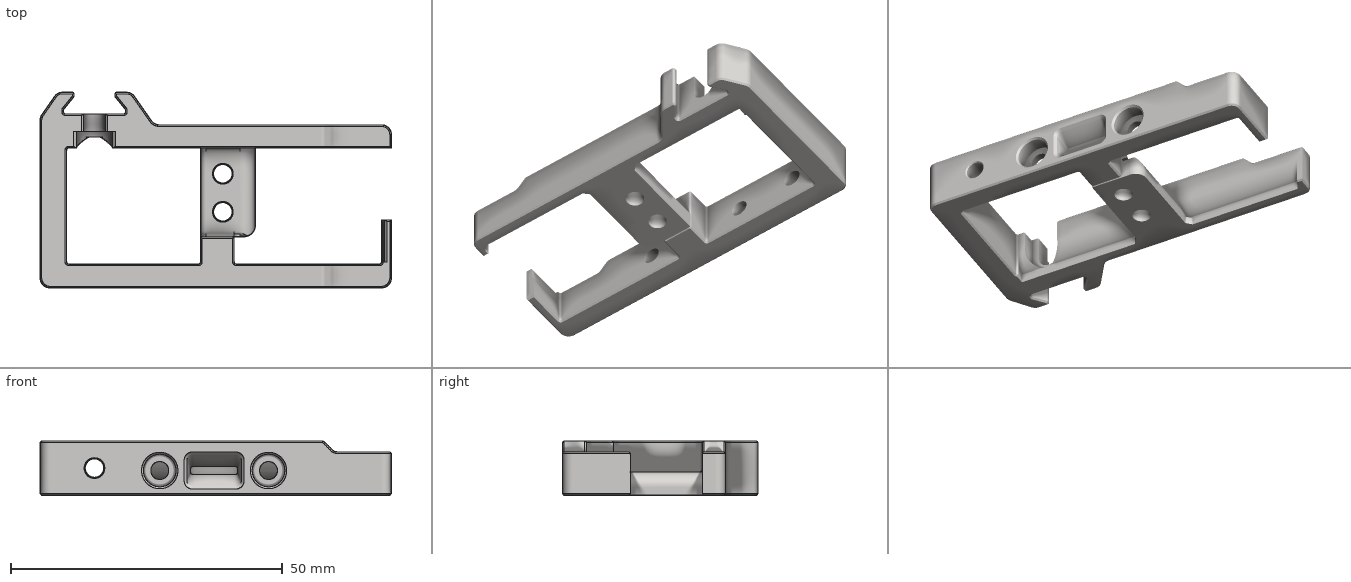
import cadquery as cq
import math

LENGTH = 64.6
WIDTH = 36.0
HEIGHT = 10.0
EDGE_CHAMFER = 0.3
OUTER_RADIUS = 1.8
INNER_RADIUS = 0.4

FRONT_RAIL = 4.4
REAR_RAIL = 4.25
REAR_RAIL_OUTER_Y = 30.0
REAR_RAIL_INNER_Y = REAR_RAIL_OUTER_Y - REAR_RAIL
LEFT_WALL = 4.9
HOOK_WALL = 1.8
HOOK_END_Y = 12.5

STEP_HEIGHT = 8.0
STEP_START_X = 52.1
STEP_RADIUS = 1.0
RAMP_ANGLE = 45.0

CLIP_CENTER_X = 10.0
CLIP_MOUTH_HALF = 3.75
CLIP_FLOOR_HALF = 5.7
CLIP_FLOOR_Y = 32.0
CLIP_SIDE_HEIGHT = 0.8
CLIP_LIP_HEIGHT = 0.8
CLIP_TOP_HALF = 6.8
CLIP_SHOULDER_Y = 31.4
CLIP_FOOT_X = 21.0
CLIP_RADIUS = 0.4

POST_LEFT_X = 29.5
POST_WIDTH = 6.2
POST_END_Y = 9.4
PLATE_WIDTH = 10.1
PLATE_TOP = 4.3
PLATE_LEFT_RADIUS = 1.0
PLATE_RIGHT_RADIUS = 2.8
PLATE_CORNER_RADIUS = 2.2
PLATE_END_RADIUS = 0.9
PLATE_ROOT_RADIUS = 0.55
PLATE_HOLE_X = 33.6
PLATE_HOLES_Y = (14.0, 21.0)

UNDERCUT_TOP = 5.55
UNDERCUT_RADIUS = 4.5
UNDERCUT_DEPTH = 2.0
UNDERCUT_BACK_Y = REAR_RAIL_INNER_Y + UNDERCUT_DEPTH
UNDERCUT_END_X = 63.5
UNDERCUT_CORNER = 1.0

HOOK_SWELL = 0.5
HOOK_TOP_CHAMFER = 0.45

CLEARANCE_DIAMETER = 3.4
HOLE_CHAMFER = 0.2
CLIP_SCREW_Z = 5.0
CLIP_SLOT_WIDTH = 4.1
CLIP_POCKET_WIDTH = 6.7
CLIP_POCKET_DEPTH = 3.0
CLIP_POCKET_CHAMFER = 0.5
FRONT_FEATURE_X = 32.0
FRONT_FEATURE_Z = 4.55
FRONT_HOLE_SPACING = 20.0
FRONT_HOLE_DIAMETER = 3.3
COUNTERBORE_DIAMETER = 6.0
COUNTERBORE_DEPTH = 3.0
COUNTERBORE_CHAMFER = 0.35

WINDOW_WIDTH = 10.0
WINDOW_HEIGHT = 5.8
WINDOW_RADIUS = 1.0
WINDOW_CHAMFER = 0.5
WINDOW_DEPTH = 3.0
WINDOW_BACK_WIDTH = 8.6
WINDOW_BACK_HEIGHT = 1.4
WINDOW_BACK_RADIUS = 0.3


def front_plane(x, y, z):
    """Work plane facing +Y: local x is X and local y is Z downwards."""
    return cq.Workplane(cq.Plane(origin=(x, y, z), xDir=(1, 0, 0), normal=(0, 1, 0)))


def prism(points, z_top):
    """Upright block with the given XY outline, standing on the base plane."""
    return cq.Workplane("XY").polyline(points).close().extrude(z_top)


def round_corners(body, corners, radius):
    """Fillet the vertical edges standing at the given XY points."""
    tolerance = 0.05
    for x, y in corners:
        box = cq.selectors.BoxSelector(
            (x - tolerance, y - tolerance, -1), (x + tolerance, y + tolerance, HEIGHT + 1)
        )
        body = body.edges("|Z").edges(box).fillet(radius)
    return body


def step_cutter():
    """Space above the lowered rail ends, with a straight ramp rounded at its head and foot."""
    angle = math.radians(RAMP_ANGLE)
    lead = STEP_RADIUS * math.tan(angle / 2)
    bend_run = STEP_RADIUS * math.sin(angle)
    bend_rise = STEP_RADIUS * (1 - math.cos(angle))
    head_x = STEP_START_X - lead
    foot_x = STEP_START_X + (HEIGHT - STEP_HEIGHT) / math.tan(angle) + lead
    return (
        cq.Workplane("XZ")
        .moveTo(LENGTH, STEP_HEIGHT)
        .lineTo(foot_x, STEP_HEIGHT)
        .radiusArc((foot_x - bend_run, STEP_HEIGHT + bend_rise), STEP_RADIUS)
        .lineTo(head_x + bend_run, HEIGHT - bend_rise)
        .radiusArc((head_x, HEIGHT), -STEP_RADIUS)
        .lineTo(LENGTH, HEIGHT)
        .close()
        .extrude(-WIDTH)
    )


def frame():
    """Open C-shaped frame with the dovetail clip, the post and the hook."""
    clip_side_y = CLIP_FLOOR_Y + CLIP_SIDE_HEIGHT
    clip_lip_y = WIDTH - CLIP_LIP_HEIGHT
    post_right_x = POST_LEFT_X + POST_WIDTH
    hook_inner_x = LENGTH - HOOK_WALL
    floor_x = (CLIP_CENTER_X - CLIP_FLOOR_HALF, CLIP_CENTER_X + CLIP_FLOOR_HALF)
    mouth_x = (CLIP_CENTER_X - CLIP_MOUTH_HALF, CLIP_CENTER_X + CLIP_MOUTH_HALF)
    top_x = (CLIP_CENTER_X - CLIP_TOP_HALF, CLIP_CENTER_X + CLIP_TOP_HALF)

    outer_corners = [(0, 0), (LENGTH, 0), (LENGTH, REAR_RAIL_OUTER_Y)]
    inner_corners = [
        (LEFT_WALL, REAR_RAIL_INNER_Y),
        (LEFT_WALL, FRONT_RAIL),
        (POST_LEFT_X, FRONT_RAIL),
        (POST_LEFT_X, POST_END_Y),
        (post_right_x, POST_END_Y),
        (post_right_x, FRONT_RAIL),
        (hook_inner_x, FRONT_RAIL),
    ]
    clip_corners = []
    for floor, mouth in zip(floor_x, mouth_x):
        clip_corners += [
            (mouth, WIDTH),
            (mouth, clip_lip_y),
            (floor, clip_side_y),
            (floor, CLIP_FLOOR_Y),
        ]
    clip_tops = [(x, WIDTH) for x in top_x]
    clip_shoulder = (0, CLIP_SHOULDER_Y)
    clip_foot = (CLIP_FOOT_X, REAR_RAIL_OUTER_Y)

    outline = (
        [(0, 0), (LENGTH, 0), (LENGTH, HOOK_END_Y), (hook_inner_x, HOOK_END_Y)]
        + inner_corners[::-1]
        + [(LENGTH, REAR_RAIL_INNER_Y), (LENGTH, REAR_RAIL_OUTER_Y), clip_foot, clip_tops[1]]
        + clip_corners[4:]
        + clip_corners[3::-1]
        + [clip_tops[0], clip_shoulder]
    )
    body = prism(outline, HEIGHT)
    body = round_corners(body, outer_corners, OUTER_RADIUS)
    body = round_corners(body, inner_corners, INNER_RADIUS)
    body = round_corners(body, clip_corners, CLIP_RADIUS)
    body = round_corners(body, clip_tops + [clip_shoulder, clip_foot], OUTER_RADIUS)
    body = body.cut(step_cutter())
    upper_half = cq.selectors.BoxSelector((-1, -1, HEIGHT / 2), (LENGTH + 1, WIDTH + 1, HEIGHT + 1))
    body = body.faces("<Z").chamfer(EDGE_CHAMFER)
    return body.faces("|Z").faces(upper_half).edges().chamfer(EDGE_CHAMFER)


def undercut_lip_top():
    """Height at which the undercut's arc meets its vertical back wall."""
    arc_center_depth = UNDERCUT_RADIUS - UNDERCUT_DEPTH
    return UNDERCUT_TOP - math.sqrt(UNDERCUT_RADIUS**2 - arc_center_depth**2)


def undercut():
    """Channel below the rear rail's inner face, swept in by a tangent arc."""
    profile = (
        cq.Workplane("YZ", origin=(LEFT_WALL, 0, 0))
        .moveTo(REAR_RAIL_INNER_Y, 0)
        .lineTo(UNDERCUT_BACK_Y, 0)
        .lineTo(UNDERCUT_BACK_Y, undercut_lip_top())
        .radiusArc((REAR_RAIL_INNER_Y, UNDERCUT_TOP), UNDERCUT_RADIUS)
        .close()
    )
    channel = profile.extrude(UNDERCUT_END_X - LEFT_WALL)
    return channel.edges("|Z and >X and >Y").chamfer(UNDERCUT_CORNER)


def hook_relief():
    """Material removed above the hook's swelling foot."""
    foot_x = LENGTH - HOOK_WALL
    upright_x = foot_x + HOOK_SWELL
    radius = (UNDERCUT_TOP**2 + HOOK_SWELL**2) / (2 * HOOK_SWELL)
    return (
        cq.Workplane("XZ", origin=(0, FRONT_RAIL + INNER_RADIUS, 0))
        .moveTo(foot_x, 0)
        .radiusArc((upright_x, UNDERCUT_TOP), radius)
        .lineTo(upright_x, STEP_HEIGHT - HOOK_TOP_CHAMFER)
        .lineTo(upright_x + HOOK_TOP_CHAMFER, STEP_HEIGHT)
        .lineTo(foot_x, STEP_HEIGHT)
        .close()
        .extrude(FRONT_RAIL - HOOK_END_Y)
    )


def bridge_plate():
    """Low plate from the post to the back of the undercut, rounded along its exposed edges."""
    length = UNDERCUT_BACK_Y - POST_END_Y
    block = cq.Workplane("XY").box(PLATE_WIDTH, length, PLATE_TOP, centered=False)
    block = block.translate((POST_LEFT_X, POST_END_Y, 0))
    sides_rounded = block.edges("|Y and <X and >Z").fillet(PLATE_LEFT_RADIUS)
    sides_rounded = sides_rounded.edges("|Y and >X and >Z").fillet(PLATE_RIGHT_RADIUS)
    corner_rounded = block.edges("|Z and >X and <Y").fillet(PLATE_CORNER_RADIUS)
    end_rounded = block.edges("|X and <Y and >Z").fillet(PLATE_END_RADIUS)
    behind_post = cq.Workplane("XY").box(POST_WIDTH, length, PLATE_TOP, centered=False)
    behind_post = behind_post.translate((POST_LEFT_X, POST_END_Y, 0))
    return sides_rounded.intersect(corner_rounded).intersect(end_rounded.union(behind_post))


def plate_corner_webs():
    """Diagonal webs between the plate's sides and the back wall of the undercut."""
    plate_right_x = POST_LEFT_X + PLATE_WIDTH
    front_y = UNDERCUT_BACK_Y - UNDERCUT_CORNER
    outline = [
        (POST_LEFT_X - UNDERCUT_CORNER, UNDERCUT_BACK_Y),
        (POST_LEFT_X, front_y),
        (plate_right_x, front_y),
        (plate_right_x + UNDERCUT_CORNER, UNDERCUT_BACK_Y),
    ]
    return prism(outline, min(undercut_lip_top(), PLATE_TOP - PLATE_RIGHT_RADIUS))


def root_fillet(face_y, side):
    """Concave fillet where the plate's flat top meets a wall; side is the wall's Y direction."""
    radius = PLATE_ROOT_RADIUS
    flat_width = PLATE_WIDTH - PLATE_LEFT_RADIUS - PLATE_RIGHT_RADIUS
    return (
        cq.Workplane("YZ", origin=(POST_LEFT_X + PLATE_LEFT_RADIUS, 0, 0))
        .moveTo(face_y - side * radius, PLATE_TOP)
        .radiusArc((face_y, PLATE_TOP + radius), -side * radius)
        .lineTo(face_y, PLATE_TOP)
        .close()
        .extrude(flat_width)
    )


def plate_holes():
    """Two screw holes down through the plate, flared at the top."""
    radius = CLEARANCE_DIAMETER / 2
    spots = [(PLATE_HOLE_X, y) for y in PLATE_HOLES_Y]
    holes = cq.Workplane("XY").pushPoints(spots).circle(radius).extrude(PLATE_TOP)
    for x, y in spots:
        mouth = cq.Workplane("XY", origin=(x, y, PLATE_TOP - HOLE_CHAMFER)).circle(radius)
        holes = holes.union(mouth.workplane(offset=HOLE_CHAMFER).circle(radius + HOLE_CHAMFER).loft())
    return holes


def chamfered_bore(start, diameter, depth, chamfer):
    """Bore running +Y from a start point, with a flared mouth."""
    bore = front_plane(*start).circle(diameter / 2).extrude(depth)
    mouth = front_plane(*start).circle(diameter / 2 + chamfer).workplane(offset=chamfer)
    return bore.union(mouth.circle(diameter / 2).loft())


def front_holes():
    """Small hole in line with the clip screw and two counterbored holes."""
    access = (CLIP_CENTER_X, 0, CLIP_SCREW_Z)
    cutter = chamfered_bore(access, CLEARANCE_DIAMETER, FRONT_RAIL, HOLE_CHAMFER)
    for side in (-1, 1):
        start = (FRONT_FEATURE_X + side * FRONT_HOLE_SPACING / 2, 0, FRONT_FEATURE_Z)
        counterbore = chamfered_bore(start, COUNTERBORE_DIAMETER, COUNTERBORE_DEPTH, COUNTERBORE_CHAMFER)
        cutter = cutter.union(counterbore)
        cutter = cutter.union(front_plane(*start).circle(FRONT_HOLE_DIAMETER / 2).extrude(FRONT_RAIL))
    return cutter


def open_slot(width, start_y, end_y):
    """U-shaped slot through the rear rail, open at the top."""
    depth = end_y - start_y
    start = (CLIP_CENTER_X, start_y, CLIP_SCREW_Z)
    round_bottom = front_plane(*start).circle(width / 2).extrude(depth)
    rise = HEIGHT - CLIP_SCREW_Z
    channel = cq.Workplane("XY").box(width, depth, rise, centered=(True, False, False))
    return round_bottom.union(channel.translate(start))


def mouth_chamfer(width, chamfer, start_y, end_y):
    """Flare of a slot's two top edges."""
    half = width / 2
    return (
        cq.Workplane("XZ", origin=(CLIP_CENTER_X, start_y, HEIGHT))
        .polyline([(-half - chamfer, 0), (half + chamfer, 0), (half, -chamfer), (-half, -chamfer)])
        .close()
        .extrude(start_y - end_y)
    )


def clip_screw_slots():
    """Slot for the clip screw and the wider pocket for its head."""
    floor_y = REAR_RAIL_INNER_Y + CLIP_POCKET_DEPTH
    cutter = open_slot(CLIP_SLOT_WIDTH, floor_y, CLIP_FLOOR_Y)
    cutter = cutter.union(mouth_chamfer(CLIP_SLOT_WIDTH, EDGE_CHAMFER, floor_y, CLIP_FLOOR_Y))
    cutter = cutter.union(open_slot(CLIP_POCKET_WIDTH, REAR_RAIL_INNER_Y, floor_y))
    pocket_flare = mouth_chamfer(CLIP_POCKET_WIDTH, CLIP_POCKET_CHAMFER, REAR_RAIL_INNER_Y, floor_y)
    return cutter.union(pocket_flare)


def window_layer(width, height, radius, start_y):
    """Rounded rectangle at a depth behind the front face."""
    outline = cq.Sketch().rect(width, height).vertices().fillet(radius)
    return outline.moved(cq.Location(cq.Vector(0, 0, start_y)))


def window():
    """Blind window with a flared rim and a tapered inside."""
    rim_width = WINDOW_WIDTH + 2 * WINDOW_CHAMFER
    rim_height = WINDOW_HEIGHT + 2 * WINDOW_CHAMFER
    rim = window_layer(rim_width, rim_height, WINDOW_RADIUS + WINDOW_CHAMFER, 0)
    throat = window_layer(WINDOW_WIDTH, WINDOW_HEIGHT, WINDOW_RADIUS, WINDOW_CHAMFER)
    back = window_layer(WINDOW_BACK_WIDTH, WINDOW_BACK_HEIGHT, WINDOW_BACK_RADIUS, WINDOW_DEPTH)
    plane = front_plane(FRONT_FEATURE_X, 0, FRONT_FEATURE_Z)
    return plane.placeSketch(rim, throat).loft().union(plane.placeSketch(throat, back).loft())


result = frame()
result = result.cut(undercut()).cut(hook_relief())
result = result.union(bridge_plate()).union(plate_corner_webs())
result = result.union(root_fillet(REAR_RAIL_INNER_Y, 1)).union(root_fillet(POST_END_Y, -1))
result = result.cut(plate_holes()).cut(clip_screw_slots()).cut(front_holes()).cut(window())